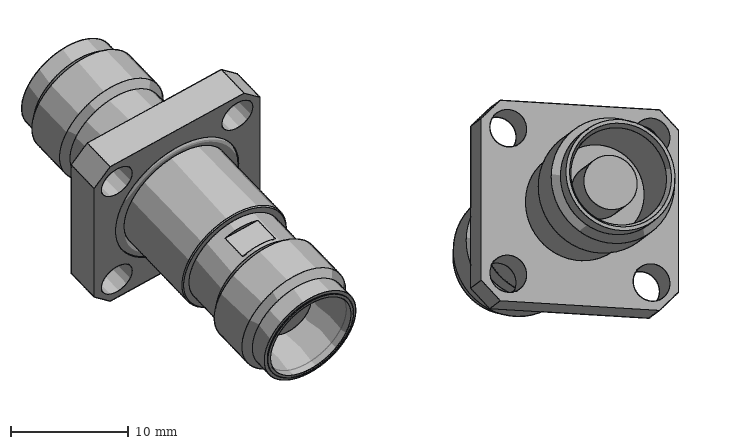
import cadquery as cq

LENGTH = 35.3
LIP_LENGTH = 0.1
BARREL_LENGTH = LENGTH - LIP_LENGTH
BARREL_RADIUS = 4.85

BAND_RADIUS = 5.47
BAND_START = 1.73
BAND_BEVEL = BAND_RADIUS - BARREL_RADIUS
BAND_WIDTH = 5.3
BAND_END = BAND_START + BAND_WIDTH

FLANGE_SIZE = 17.5
FLANGE_START = 12.6
FLANGE_THICKNESS = 3.32
FLANGE_END = FLANGE_START + FLANGE_THICKNESS
CORNER_CHAMFER = 1.7
MOUNT_HOLE_DIAMETER = 3.25
MOUNT_HOLE_SPACING = 12.7

SLEEVE_RADIUS = 5.5
SLEEVE_END = 24.3
SLEEVE_CHAMFER = 0.1

FLAT_START = 25.25
FLAT_LENGTH = 2.55
FLAT_HEIGHT = 4.52

MOUTH_RADIUS = 4.52
BORE_RADIUS = 4.25
BORE_FLOOR_RADIUS = 4.1
MOUTH_DEPTH = 0.55
BORE_DEPTH = BAND_END
POST_RADIUS = 2.35
POST_FACE_DEPTH = 3.1
LIP_RADIUS = MOUTH_RADIUS

CORD_RADIUS = 0.5
RING_RADIUS = SLEEVE_RADIUS + CORD_RADIUS
RING_PROTRUSION = 0.2
GROOVE_DEPTH = 2 * CORD_RADIUS - RING_PROTRUSION


def rod(start, end, radius):
    """Cylinder on the X axis between two stations."""
    return cq.Workplane("YZ", origin=(start, 0, 0)).circle(radius).extrude(end - start)


def revolve_about_x(profile):
    """Solid of revolution from (x, radius) points."""
    return cq.Workplane("XY").polyline(profile).close().revolve(360, (0, 0, 0), (1, 0, 0))


def mirror_end(shape):
    """Copy of a feature of the -X end, placed on the +X end."""
    return shape.mirror("YZ", (BARREL_LENGTH / 2, 0, 0))


def make_band():
    return revolve_about_x([
        (BAND_START, 0),
        (BAND_START, BARREL_RADIUS),
        (BAND_START + BAND_BEVEL, BAND_RADIUS),
        (BAND_END - BAND_BEVEL, BAND_RADIUS),
        (BAND_END, BARREL_RADIUS),
        (BAND_END, 0),
    ])


def make_socket(face, mouth_radius):
    """Space inside a -X socket from its open face, which leaves the post standing."""
    return revolve_about_x([
        (face, 0),
        (face, mouth_radius),
        (MOUTH_DEPTH, BORE_RADIUS),
        (BORE_DEPTH, BORE_FLOOR_RADIUS),
        (BORE_DEPTH, POST_RADIUS),
        (POST_FACE_DEPTH, POST_RADIUS),
        (POST_FACE_DEPTH, 0),
    ])


def make_flange():
    return (
        cq.Workplane("YZ", origin=(FLANGE_START, 0, 0))
        .rect(FLANGE_SIZE, FLANGE_SIZE)
        .extrude(FLANGE_THICKNESS)
        .edges("|X")
        .chamfer(CORNER_CHAMFER)
        .faces("<X")
        .workplane(centerOption="CenterOfBoundBox")
        .rect(MOUNT_HOLE_SPACING, MOUNT_HOLE_SPACING, forConstruction=True)
        .vertices()
        .hole(MOUNT_HOLE_DIAMETER)
    )


def make_ring_groove():
    groove_start = FLANGE_END - GROOVE_DEPTH
    outer = rod(groove_start, FLANGE_END, RING_RADIUS + CORD_RADIUS)
    return outer.cut(rod(groove_start, FLANGE_END, SLEEVE_RADIUS))


def make_flat_cutter(side):
    """Block that cuts one wrench flat; side is +1 for top, -1 for bottom."""
    depth = BARREL_RADIUS - FLAT_HEIGHT
    return cq.Workplane("XY").box(FLAT_LENGTH, 2 * BARREL_RADIUS, depth).translate(
        (FLAT_START + FLAT_LENGTH / 2, 0, side * (FLAT_HEIGHT + depth / 2))
    )


def make_housing():
    barrel = rod(0, BARREL_LENGTH, BARREL_RADIUS)
    lip = rod(BARREL_LENGTH, LENGTH, LIP_RADIUS)
    for side in (1, -1):
        barrel = barrel.cut(make_flat_cutter(side))
    sleeve = rod(FLANGE_START, SLEEVE_END, SLEEVE_RADIUS).faces(">X").chamfer(SLEEVE_CHAMFER)
    flange = make_flange().cut(make_ring_groove())
    band = make_band()
    left_socket = make_socket(0, MOUTH_RADIUS)
    right_socket = mirror_end(make_socket(-LIP_LENGTH, BORE_RADIUS))
    housing = barrel.union(lip).union(flange).union(sleeve).union(band).union(mirror_end(band))
    return housing.cut(left_socket).cut(right_socket).solids()


def make_sealing_ring():
    ring_x = FLANGE_END + RING_PROTRUSION - CORD_RADIUS
    return (
        cq.Workplane("XY")
        .center(ring_x, RING_RADIUS)
        .circle(CORD_RADIUS)
        .revolve(360, (0, -RING_RADIUS, 0), (1, -RING_RADIUS, 0))
    )


housing = make_housing()
sealing_ring = make_sealing_ring()

result = cq.Compound.makeCompound([housing.val(), sealing_ring.val()])